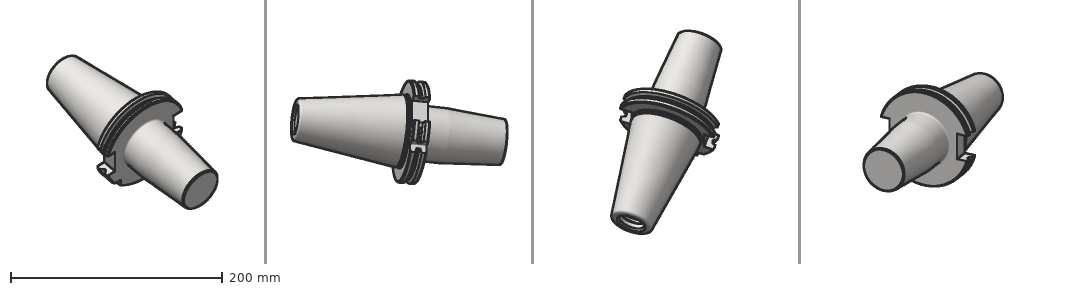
import cadquery as cq
import math

total_length = 201.5

tail_radius = 20.4
tail_rounding = 2.5
gauge_radius = 34.9
taper_end = 101.0
neck_radius = 34.3
neck_start = 102.2
neck_end = 103.5
shoulder_radius = 35.5

flange_start = 104.8
flange_width = 16.0
flange_radius = 48.8
flange_chamfer = 1.0
groove_center = 112.9
groove_top_width = 6.5
groove_floor_width = 3.2
groove_floor_radius = 45.4
groove_floor_rounding = 0.8

slot_width = 26.2
slot_floor_front = 37.5
slot_floor_back = 35.5
notch_y = 30.2
notch_z = 30.2
notch_corner_radius = 1.0

nose_radius = 26.5
nose_rounding = 1.6
nose_straight_end = 144.1
nose_tip_radius = 22.0
tip_chamfer = 1.0

bore_mouth_radius = 14.3
mouth_edge_break = 0.5
countersink_depth = 2.0
counterbore_radius = 12.5
counterbore_depth = 7.0
thread_radius = 12.0
thread_depth = 10.9
seat_radius = 11.7
pilot_radius = 10.0
pilot_depth = 36.3
drill_point_angle = 118.0

flange_end = flange_start + flange_width


def revolve_about_x(profile):
    return profile.close().revolve(360, (0, 0, 0), (1, 0, 0))


def make_shank():
    profile = (
        cq.Workplane("XY")
        .lineTo(0, tail_radius)
        .lineTo(taper_end, gauge_radius)
        .lineTo(neck_start, neck_radius)
        .lineTo(neck_end, neck_radius)
        .lineTo(flange_start, shoulder_radius)
        .lineTo(flange_start, 0)
    )
    return revolve_about_x(profile).faces("<X").edges().fillet(tail_rounding)


def make_flange():
    rim = flange_radius - flange_chamfer
    profile = (
        cq.Workplane("XY")
        .moveTo(flange_start, 0)
        .lineTo(flange_start, rim)
        .lineTo(flange_start + flange_chamfer, flange_radius)
        .lineTo(groove_center - groove_top_width / 2, flange_radius)
        .lineTo(groove_center - groove_floor_width / 2, groove_floor_radius)
        .lineTo(groove_center + groove_floor_width / 2, groove_floor_radius)
        .lineTo(groove_center + groove_top_width / 2, flange_radius)
        .lineTo(flange_end - flange_chamfer, flange_radius)
        .lineTo(flange_end, rim)
        .lineTo(flange_end, 0)
    )
    floor_edges = cq.selectors.RadiusNthSelector(0)
    return revolve_about_x(profile).edges(floor_edges).fillet(groove_floor_rounding)


def flange_cutter(y_min, y_max, z_min, z_max):
    return cq.Workplane("XY").box(
        flange_width, y_max - y_min, z_max - z_min, centered=False
    ).translate((flange_start, y_min, z_min))


def cut_flange(flange):
    half_slot = slot_width / 2
    front_slot = flange_cutter(-flange_radius, -slot_floor_front, -half_slot, half_slot)
    back_slot = flange_cutter(slot_floor_back, flange_radius, -half_slot, half_slot)
    notch = flange_cutter(-flange_radius, -notch_y, -flange_radius, -notch_z)
    notch = notch.edges("|X and >Y and >Z").fillet(notch_corner_radius)
    return flange.cut(front_slot).cut(back_slot).cut(notch)


def make_nose():
    profile = (
        cq.Workplane("XY")
        .moveTo(flange_end, 0)
        .lineTo(flange_end, nose_radius + nose_rounding)
        .radiusArc((flange_end + nose_rounding, nose_radius), -nose_rounding)
        .lineTo(nose_straight_end, nose_radius)
        .lineTo(total_length, nose_tip_radius)
        .lineTo(total_length, 0)
    )
    return revolve_about_x(profile).faces(">X").edges().chamfer(tip_chamfer)


def make_bore():
    thread_start = counterbore_depth + counterbore_radius - thread_radius
    seat_start = thread_depth + thread_radius - seat_radius
    pilot_start = seat_start + seat_radius - pilot_radius
    point_length = pilot_radius / math.tan(math.radians(drill_point_angle / 2))
    profile = (
        cq.Workplane("XY")
        .lineTo(0, bore_mouth_radius)
        .lineTo(mouth_edge_break, bore_mouth_radius - mouth_edge_break)
        .lineTo(countersink_depth, counterbore_radius)
        .lineTo(counterbore_depth, counterbore_radius)
        .lineTo(thread_start, thread_radius)
        .lineTo(thread_depth, thread_radius)
        .lineTo(seat_start, seat_radius)
        .lineTo(pilot_start, pilot_radius)
        .lineTo(pilot_depth, pilot_radius)
        .lineTo(pilot_depth + point_length, 0)
    )
    return revolve_about_x(profile)


flange = cut_flange(make_flange())
result = make_shank().union(flange).union(make_nose()).cut(make_bore())